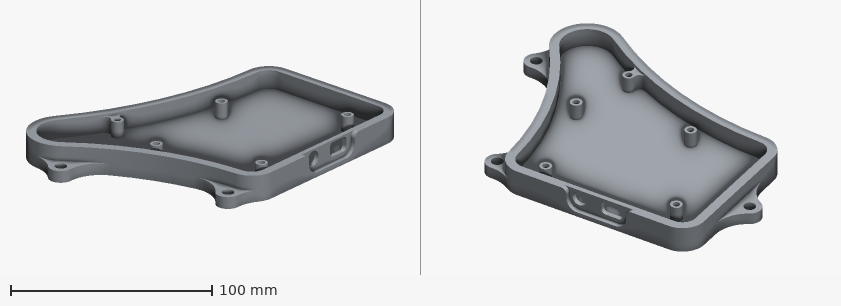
import cadquery as cq
import math

INCH = 25.4

overall_length_x = 130.32
tray_height = 9 / 16 * INCH
floor_thickness = tray_height - 0.4 * INCH
wall_thickness = 0.2 * INCH
corner_radius = 0.5 * INCH
nose_radius = 0.75 * INCH
left_sweep_radius = 7.57 * INCH
front_sweep_radius = 6.147 * INCH

back_left_corner = (-77.89, -corner_radius)
back_right_corner = (-corner_radius, -corner_radius)
front_right_corner = (-corner_radius, -101.73)
nose = (nose_radius - overall_length_x, -129.98)

ear_radius = 0.25 * INCH
ear_hole_diameter = 6.35
ear_thickness = 0.25 * INCH
ear_blend_radius = 0.75 * INCH
back_ear = (-45.29, ear_radius)
nose_ear = (-96.11, -150.36)
right_ear = (-11.99, -120.75)

post_diameter = 6.35
post_hole_diameter = 3.66
post_height = 8.75
free_posts = [(-19.61, -20.58), (-78.08, -48.73), (-13.54, -93.31), (-68.36, -109.7)]
wall_post = (-102.21, -99.98)
wall_post_blend_radius = 0.125 * INCH

recess_depth = 0.1 * INCH
recess_length = 1.625 * INCH
recess_center_y = -55.34
recess_floor_z = 0.1 * INCH
recess_lip_radius = 0.125 * INCH
recess_foot_radius = 0.25 * INCH
port_center_z = 9.28
round_port_diameter = 8.0
round_port_y = -66.7
wide_port_y = -47.6
wide_port_length = 12.66
wide_port_height = 7.94
wide_port_corner_radius = 2.5

OUTSIDE = 1
INSIDE = -1


def toward(start, target, distance):
    """Point at the given distance from start, on the line to target; a negative distance goes away."""
    ratio = distance / math.dist(start, target)
    return (start[0] + ratio * (target[0] - start[0]), start[1] + ratio * (target[1] - start[1]))


def circle_crossing(center_a, radius_a, center_b, radius_b):
    """Crossing of two circles that lies to the right when looking from center_a to center_b."""
    span = math.dist(center_a, center_b)
    along = (radius_a**2 - radius_b**2 + span**2) / (2 * span)
    across = math.sqrt(radius_a**2 - along**2)
    ux = (center_b[0] - center_a[0]) / span
    uy = (center_b[1] - center_a[1]) / span
    return (center_a[0] + along * ux + across * uy, center_a[1] + along * uy - across * ux)


left_sweep = circle_crossing(
    back_left_corner, left_sweep_radius + corner_radius, nose, left_sweep_radius + nose_radius
)
front_sweep = circle_crossing(
    nose, front_sweep_radius + nose_radius, front_right_corner, front_sweep_radius + corner_radius
)


def tray_prism(inset, bottom_z, top_z):
    """Prism over the tray outline, moved inward by inset; the outline runs clockwise from the nose."""
    corner = corner_radius - inset
    nose_round = nose_radius - inset
    left_start = toward(nose, left_sweep, nose_round)
    left_end = toward(back_left_corner, left_sweep, corner)
    front_start = toward(front_right_corner, front_sweep, corner)
    front_end = toward(nose, front_sweep, nose_round)
    nose_leftmost = (nose[0] - nose_round, nose[1])
    return (
        cq.Workplane("XY", origin=(0, 0, bottom_z))
        .moveTo(*left_start)
        .radiusArc(left_end, -left_sweep_radius - inset)
        .radiusArc((back_left_corner[0], -inset), corner)
        .lineTo(back_right_corner[0], -inset)
        .radiusArc((-inset, back_right_corner[1]), corner)
        .lineTo(-inset, front_right_corner[1])
        .radiusArc(front_start, corner)
        .radiusArc(front_end, -front_sweep_radius - inset)
        .threePointArc(nose_leftmost, left_start)
        .close()
        .extrude(top_z - bottom_z)
    )


def lug_prism(center, radius, blend_radius, blends, bottom_z, height):
    """Round lug joined to a wall by two hollow blends.

    Each blend is its arc center and the point where it meets the wall, in clockwise order.
    """
    (first_center, first_foot), (last_center, last_foot) = blends
    feet_middle = ((first_foot[0] + last_foot[0]) / 2, (first_foot[1] + last_foot[1]) / 2)
    return (
        cq.Workplane("XY", origin=(0, 0, bottom_z))
        .moveTo(*first_foot)
        .radiusArc(toward(center, first_center, radius), -blend_radius)
        .threePointArc(toward(center, feet_middle, -radius), toward(center, last_center, radius))
        .radiusArc(last_foot, -blend_radius)
        .close()
        .extrude(height)
    )


def arc_blend(center, radius, blend_radius, wall, on_right):
    """Center and foot of the blend between a lug and a circular wall.

    The wall is its circle's center, its radius and the side of it on which the lug lies.
    on_right tells whether the blend is on the right, as seen from the lug looking at the wall.
    """
    wall_center, wall_radius, side = wall
    to_lug = radius + blend_radius
    to_wall = wall_radius + side * blend_radius
    if on_right == (side == OUTSIDE):
        blend_center = circle_crossing(center, to_lug, wall_center, to_wall)
    else:
        blend_center = circle_crossing(wall_center, to_wall, center, to_lug)
    return (blend_center, toward(wall_center, blend_center, wall_radius))


def lug_on_arcs(center, radius, blend_radius, right_wall, left_wall, bottom_z, height):
    """Lug blended into a circular wall on its right and one on its left."""
    blends = [
        arc_blend(center, radius, blend_radius, right_wall, True),
        arc_blend(center, radius, blend_radius, left_wall, False),
    ]
    return lug_prism(center, radius, blend_radius, blends, bottom_z, height)


def back_ear_lug():
    """Ear on the straight back wall, with a blend on either side."""
    to_ear = ear_radius + ear_blend_radius
    reach = math.sqrt(to_ear**2 - (ear_blend_radius - back_ear[1]) ** 2)
    blends = [((x, ear_blend_radius), (x, 0)) for x in (back_ear[0] - reach, back_ear[0] + reach)]
    return lug_prism(back_ear, ear_radius, ear_blend_radius, blends, 0, ear_thickness)


def front_ear_lugs():
    """Ears at the two ends of the front sweep."""
    sweep_wall = (front_sweep, front_sweep_radius, INSIDE)
    nose_wall = (nose, nose_radius, OUTSIDE)
    corner_wall = (front_right_corner, corner_radius, OUTSIDE)
    near_nose = lug_on_arcs(
        nose_ear, ear_radius, ear_blend_radius, sweep_wall, nose_wall, 0, ear_thickness
    )
    near_corner = lug_on_arcs(
        right_ear, ear_radius, ear_blend_radius, corner_wall, sweep_wall, 0, ear_thickness
    )
    return near_nose.union(near_corner)


def posts():
    """Free-standing posts and the one that is joined to the left wall."""
    standing = (
        cq.Workplane("XY", origin=(0, 0, floor_thickness))
        .pushPoints(free_posts)
        .circle(post_diameter / 2)
        .extrude(post_height)
    )
    left_wall = (left_sweep, left_sweep_radius + wall_thickness, OUTSIDE)
    joined = lug_on_arcs(
        wall_post, post_diameter / 2, wall_post_blend_radius, left_wall, left_wall,
        floor_thickness, post_height,
    )
    return standing.union(joined)


def holes(centers, diameter, bottom_z, depth):
    """Upright drills, to be cut away."""
    drills = cq.Workplane("XY", origin=(0, 0, bottom_z)).pushPoints(centers)
    return drills.circle(diameter / 2).extrude(depth)


def port_recess():
    """Recess open to the right and the top, with rounded lips and feet at both ends."""
    half = recess_length / 2
    wall_edge = half - recess_lip_radius
    foot_edge = wall_edge - recess_foot_radius
    lip_bottom = tray_height - recess_lip_radius
    foot_top = recess_floor_z + recess_foot_radius
    return (
        cq.Workplane("YZ", origin=(-recess_depth, recess_center_y, 0))
        .moveTo(-half, tray_height)
        .radiusArc((-wall_edge, lip_bottom), recess_lip_radius)
        .lineTo(-wall_edge, foot_top)
        .radiusArc((-foot_edge, recess_floor_z), -recess_foot_radius)
        .lineTo(foot_edge, recess_floor_z)
        .radiusArc((wall_edge, foot_top), -recess_foot_radius)
        .lineTo(wall_edge, lip_bottom)
        .radiusArc((half, tray_height), recess_lip_radius)
        .close()
        .extrude(recess_depth)
    )


def ports():
    """Round port and wide port with rounded corners, through the right wall."""
    round_port = (
        cq.Workplane("YZ", origin=(-wall_thickness, round_port_y, port_center_z))
        .circle(round_port_diameter / 2)
        .extrude(wall_thickness)
    )
    wide_port = (
        cq.Workplane("YZ", origin=(-wall_thickness, wide_port_y, port_center_z))
        .rect(wide_port_length, wide_port_height)
        .extrude(wall_thickness)
        .edges("|X")
        .fillet(wide_port_corner_radius)
    )
    return round_port.union(wide_port)


tray = tray_prism(0, 0, tray_height).union(back_ear_lug()).union(front_ear_lugs())
tray = tray.cut(holes([back_ear, nose_ear, right_ear], ear_hole_diameter, 0, ear_thickness))

tray = tray.cut(tray_prism(wall_thickness, floor_thickness, tray_height)).union(posts())
tray = tray.cut(holes(free_posts + [wall_post], post_hole_diameter, floor_thickness, post_height))

result = tray.cut(port_recess()).cut(ports())